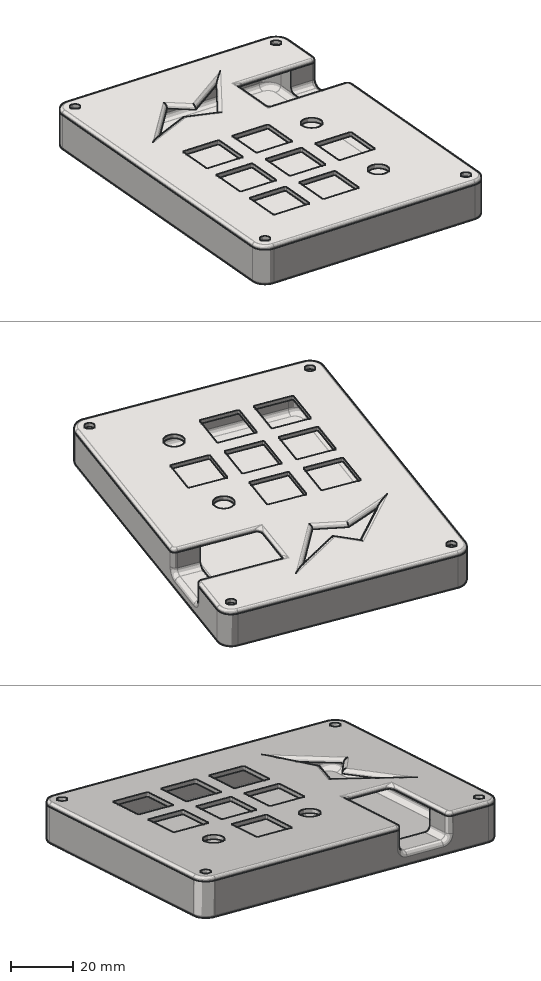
import cadquery as cq

length = 118.6
width = 87.6
height = 14.5

lid_thickness = 1.5
corner_radius = 5.0
rim_radius = 1.0
wall = 10.0
floor_thickness = 3.0
floor_fillet = 2.0

screw_diameter = 3.4

key_size = 14.0
key_corner_radius = 0.5
key_pitch = 19.1
grid_x = 16.5
grid_y = -1.4
indicator_diameter = 7.0

channel_x = -29.2
channel_width = 18.5
channel_floor = 5.0
channel_fillet = 2.0
mouth_radius = 1.8
notch_length = 31.1
notch_corner_radius = 2.0

bolt_outline = [
    (-48.5, 13.4),
    (-24.5, -2.1),
    (-28.5, -13.6),
    (-20.0, -32.0),
    (-41.0, -13.8),
    (-35.0, -6.4),
]
bolt_edge_radius = 1.4

pick_margin = 0.1

tray_height = height - lid_thickness
back_y = width / 2
channel_left = channel_x - channel_width / 2
channel_right = channel_x + channel_width / 2
notch_end_y = back_y - notch_length
top_row_y = grid_y + key_pitch
screw_points = [
    (side_x * (length / 2 - corner_radius), side_y * (width / 2 - corner_radius))
    for side_x in (-1, 1)
    for side_y in (-1, 1)
]
key_points = [(grid_x, top_row_y)] + [
    (grid_x + column * key_pitch, grid_y + row * key_pitch)
    for row in (-1, 0)
    for column in (-1, 0, 1)
]
indicator_points = [(grid_x + side * key_pitch, top_row_y) for side in (-1, 1)]


def rounded_block(bottom, top):
    """Block with the rounded outline of the case between two heights."""
    block = cq.Workplane("XY").workplane(offset=bottom).rect(length, width).extrude(top - bottom)
    return block.edges("|Z").fillet(corner_radius)


def round_holes(points, diameter):
    """Cylinders that pass through the full height at the given points."""
    return cq.Workplane("XY").pushPoints(points).circle(diameter / 2).extrude(height)


def edges_within(x_range, y_range, z_range):
    """Selector for edges whose centre lies in the given ranges, widened by the margin."""
    low = [span[0] - pick_margin for span in (x_range, y_range, z_range)]
    high = [span[1] + pick_margin for span in (x_range, y_range, z_range)]
    return cq.selectors.BoxSelector(low, high)


def cavity_space():
    """Space inside the tray, with the same upright corner radius as the case."""
    space = (
        cq.Workplane("XY")
        .workplane(offset=floor_thickness)
        .rect(length - 2 * wall, width - 2 * wall)
        .extrude(tray_height - floor_thickness)
    )
    space = space.edges("|Z").fillet(corner_radius)
    return space.faces("<Z").edges().fillet(floor_fillet)


def cut_channel(tray):
    """Cut the connector channel from above and round its mouth at the back face."""
    channel = (
        cq.Workplane("XY")
        .box(channel_width, 2 * notch_length, height, centered=(True, True, False))
        .edges("|Y and <Z")
        .fillet(channel_fillet)
        .translate((channel_x, back_y, channel_floor))
    )
    mouth = edges_within(
        (channel_left, channel_right),
        (back_y, back_y),
        (channel_floor, tray_height - 2 * pick_margin),
    )
    return tray.cut(channel).edges(mouth).fillet(mouth_radius)


def make_tray():
    tray = rounded_block(0, tray_height).faces("<Z").edges().fillet(rim_radius)
    tray = cut_channel(tray)
    tray = tray.cut(cavity_space())
    return tray.cut(round_holes(screw_points, screw_diameter))


def cut_notch(lid):
    """Cut the notch over the channel, then round the mouth, the top rim and the inner corners."""
    notch = (
        cq.Workplane("XY")
        .box(channel_width, 2 * notch_length, 2 * height)
        .translate((channel_x, back_y, height))
    )
    notch_sides = (channel_left, channel_right)
    lid_heights = (tray_height, height)
    mouth = edges_within(notch_sides, (back_y, back_y), lid_heights)
    inner_corners = edges_within(notch_sides, (notch_end_y, notch_end_y), lid_heights)
    lid = lid.cut(notch).edges("|Z").edges(mouth).fillet(mouth_radius)
    lid = lid.faces(">Z").edges().fillet(rim_radius)
    return lid.edges("|Z").edges(inner_corners).fillet(notch_corner_radius)


def cut_bolt(lid):
    """Cut the lightning bolt window and round its top edge out to the bolt outline."""
    window = (
        cq.Workplane("XY")
        .polyline(bolt_outline)
        .close()
        .offset2D(-bolt_edge_radius, "intersection")
        .extrude(height)
    )
    bolt_xs = [x for x, y in bolt_outline]
    bolt_ys = [y for x, y in bolt_outline]
    top_edges = edges_within(
        (min(bolt_xs), max(bolt_xs)),
        (min(bolt_ys), max(bolt_ys)),
        (height, height),
    )
    return lid.cut(window).faces(">Z").edges(top_edges).fillet(bolt_edge_radius)


def key_openings():
    """Square key openings with slightly rounded corners."""
    keys = cq.Workplane("XY").pushPoints(key_points).rect(key_size, key_size).extrude(height)
    return keys.edges("|Z").fillet(key_corner_radius)


def make_lid():
    lid = rounded_block(tray_height, height)
    lid = cut_notch(lid)
    lid = cut_bolt(lid)
    lid = lid.cut(key_openings())
    lid = lid.cut(round_holes(indicator_points, indicator_diameter))
    return lid.cut(round_holes(screw_points, screw_diameter))


tray = make_tray()
lid = make_lid()
result = cq.Compound.makeCompound([tray.solids().val(), lid.solids().val()])